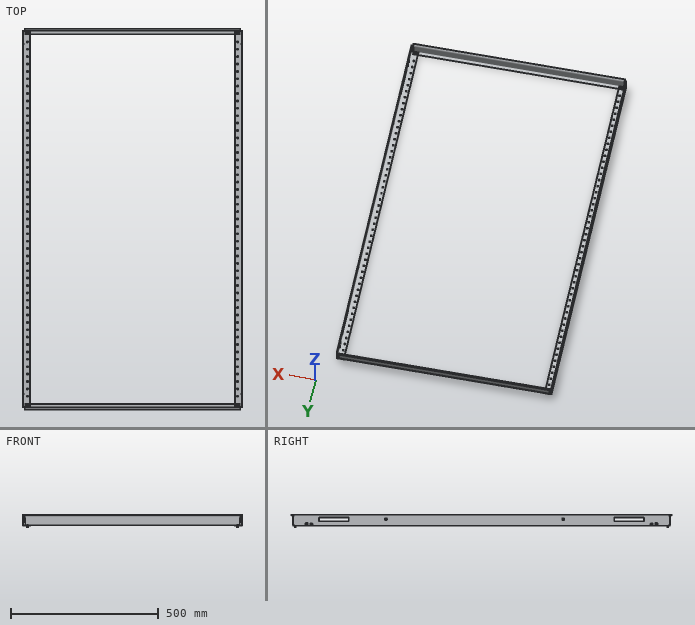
import cadquery as cq

frame_width = 742.4
frame_length = 1290.14
frame_depth = 42.77

sheet = 1.5
bend_radius = 2.5

end_rail_length = 731.0
lip_run = 6.5
lip_radius = 6.0
end_floor_width = 13.0
end_taper = 2.0

rail_height = 37.5
side_floor_width = 24.5

floor_hole_diameter = 3.2
floor_hole_pitch = 25.0
floor_hole_count = 49
floor_hole_inset = 15.5

slot_length = 100.0
slot_height = 12.0
slot_corner_radius = 2.0
slot_y = 500.0
slot_depth = 16.0
large_hole_diameter = 8.0
large_hole_y = 592.5
small_hole_diameter = 6.0
small_hole_y = 576.0
low_hole_height = 5.5
screw_hole_diameter = 7.0
screw_hole_spacing = 600.0
screw_hole_shift = 23.5
screw_hole_depth = 15.0

rivet_diameter = 4.0
rivet_head_diameter = 8.0
rivet_head_height = 1.5
rivet_y = 630.5

wall_outer_x = frame_width / 2
wall_outer_y = frame_length / 2 - lip_run
side_rail_length = 2 * (wall_outer_y - sheet)
side_floor_z = -rail_height
end_floor_z = side_floor_z + sheet
rivet_x = wall_outer_x - floor_hole_inset
low_hole_z = side_floor_z + low_hole_height


def drill_side_wall(rail, y, z, diameter):
    drill = (
        cq.Workplane("YZ", origin=(-wall_outer_x, y, z))
        .circle(diameter / 2)
        .extrude(bend_radius)
    )
    return rail.cut(drill)


def cut_slot(rail, y):
    slot = (
        cq.Workplane("XY")
        .box(sheet, slot_length, slot_height, centered=(False, True, True))
        .edges("|X")
        .fillet(slot_corner_radius)
        .translate((-wall_outer_x, y, -slot_depth))
    )
    return rail.cut(slot)


def side_rail_blank():
    """L-section with a bent corner, extruded along Y at the -X side."""
    return (
        cq.Workplane("XZ", origin=(-wall_outer_x, side_rail_length / 2, 0))
        .moveTo(0, 0)
        .lineTo(0, side_floor_z + bend_radius)
        .radiusArc((bend_radius, side_floor_z), -bend_radius)
        .lineTo(side_floor_width, side_floor_z)
        .lineTo(side_floor_width, side_floor_z + sheet)
        .lineTo(bend_radius, side_floor_z + sheet)
        .radiusArc((sheet, side_floor_z + bend_radius), bend_radius - sheet)
        .lineTo(sheet, 0)
        .close()
        .extrude(side_rail_length)
    )


def side_rail():
    rail = side_rail_blank()
    floor_holes = (
        cq.Workplane("XY", origin=(-rivet_x, 0, side_floor_z))
        .rarray(1, floor_hole_pitch, 1, floor_hole_count)
        .circle(floor_hole_diameter / 2)
        .extrude(sheet)
    )
    rivet_holes = (
        cq.Workplane("XY", origin=(-rivet_x, 0, side_floor_z))
        .pushPoints([(0, rivet_y), (0, -rivet_y)])
        .circle(rivet_diameter / 2)
        .extrude(sheet)
    )
    rail = rail.cut(floor_holes).cut(rivet_holes)
    for side in (1, -1):
        rail = cut_slot(rail, side * slot_y)
        rail = drill_side_wall(rail, side * large_hole_y, low_hole_z, large_hole_diameter)
        rail = drill_side_wall(rail, side * small_hole_y, low_hole_z, small_hole_diameter)
        screw_hole_y = screw_hole_shift + side * screw_hole_spacing / 2
        rail = drill_side_wall(rail, screw_hole_y, -screw_hole_depth, screw_hole_diameter)
    return rail


def end_rail_blank():
    """Lip, wall and floor section with bent corners, extruded along X at the -Y end."""
    return (
        cq.Workplane("YZ", origin=(-end_rail_length / 2, -wall_outer_y, 0))
        .moveTo(-lip_run, 0)
        .lineTo(-lip_run, -sheet)
        .lineTo(-lip_radius, -sheet)
        .radiusArc((0, -sheet - lip_radius), lip_radius)
        .lineTo(0, end_floor_z + bend_radius)
        .radiusArc((bend_radius, end_floor_z), -bend_radius)
        .lineTo(end_floor_width, end_floor_z)
        .lineTo(end_floor_width, end_floor_z + sheet)
        .lineTo(bend_radius, end_floor_z + sheet)
        .radiusArc((sheet, end_floor_z + bend_radius), bend_radius - sheet)
        .lineTo(sheet, -sheet - lip_radius)
        .radiusArc((-lip_radius, 0), -lip_radius - sheet)
        .close()
        .extrude(end_rail_length)
    )


def end_rail():
    half_top = end_rail_length / 2
    half_bottom = half_top - end_taper
    tapered_block = (
        cq.Workplane("XZ")
        .polyline(
            [
                (-half_top, 0),
                (half_top, 0),
                (half_bottom, end_floor_z),
                (-half_bottom, end_floor_z),
            ]
        )
        .close()
        .extrude(frame_length / 2)
    )
    rivet_holes = (
        cq.Workplane("XY", origin=(0, -rivet_y, end_floor_z))
        .pushPoints([(rivet_x, 0), (-rivet_x, 0)])
        .circle(rivet_diameter / 2)
        .extrude(sheet)
    )
    return end_rail_blank().intersect(tapered_block).cut(rivet_holes)


def rivet(x, y):
    """Head on the end floor, shank down through both floors."""
    head_bottom = end_floor_z + sheet
    shank = (
        cq.Workplane("XY", origin=(x, y, -frame_depth))
        .circle(rivet_diameter / 2)
        .extrude(frame_depth + head_bottom)
    )
    head = (
        cq.Workplane("XY", origin=(x, y, head_bottom))
        .circle(rivet_head_diameter / 2)
        .extrude(rivet_head_height)
    )
    return shank.union(head)


def half_turned_pair(rail):
    """The rail and its copy turned half a turn about the Z axis."""
    return [rail.rotate((0, 0, 0), (0, 0, 1), angle) for angle in (0, 180)]


side_rails = half_turned_pair(side_rail())
end_rails = half_turned_pair(end_rail())
rivets = [rivet(x, y) for x in (-rivet_x, rivet_x) for y in (-rivet_y, rivet_y)]

bodies = side_rails + end_rails + rivets
result = cq.Compound.makeCompound([body.val() for body in bodies])